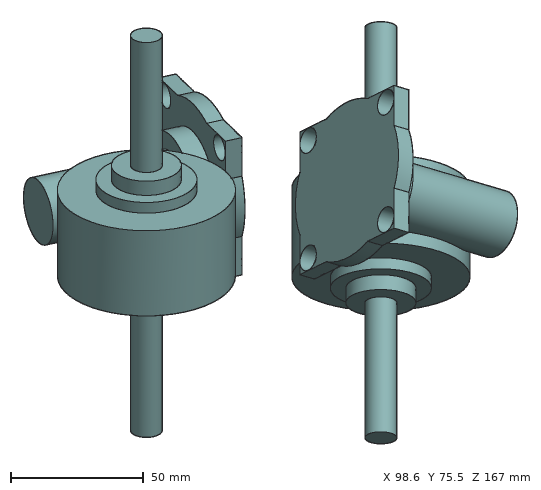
import cadquery as cq

axle_length = 167.0
axle_radius = 6.0
drum_radius = 33.5
drum_height = 36.0
collar_radius = 19.0
collar_height = 45.1
hub_radius = 13.2
hub_height = 57.1

arm_offset = 33.4
arm_radius = 13.0
arm_length = 55.1
neck_radius = 20.0
neck_length = 9.0
flange_back_y = 42.0
flange_thickness = 7.0
flange_radius = 31.7
flange_square = 58.1
hole_spacing = 47.8
hole_diameter = 10.0

flange_front_y = flange_back_y - flange_thickness


def vertical_cylinder(radius, height):
    """Cylinder on the Z axis, centred at mid-height."""
    return cq.Workplane("XY").circle(radius).extrude(height / 2, both=True)


def arm_plane(y):
    """Workplane on the arm axis at the given Y, facing -Y."""
    return cq.Workplane("XZ", origin=(-arm_offset, y, 0))


def make_rotor():
    rotor = vertical_cylinder(drum_radius, drum_height)
    for radius, height in (
        (collar_radius, collar_height),
        (hub_radius, hub_height),
        (axle_radius, axle_length),
    ):
        rotor = rotor.union(vertical_cylinder(radius, height))
    return rotor


def make_flange():
    """Square plate merged with a disc that bulges past its four sides."""
    plate = arm_plane(flange_back_y).rect(flange_square, flange_square).extrude(flange_thickness)
    disc = arm_plane(flange_back_y).circle(flange_radius).extrude(flange_thickness)
    holes = (
        arm_plane(flange_back_y)
        .rect(hole_spacing, hole_spacing, forConstruction=True)
        .vertices()
        .circle(hole_diameter / 2)
        .extrude(flange_thickness)
    )
    return plate.union(disc).cut(holes)


def make_arm():
    neck = arm_plane(flange_front_y).circle(neck_radius).extrude(neck_length)
    bar = arm_plane(flange_front_y - neck_length).circle(arm_radius).extrude(arm_length)
    return neck.union(bar)


result = make_rotor().union(make_flange()).union(make_arm())